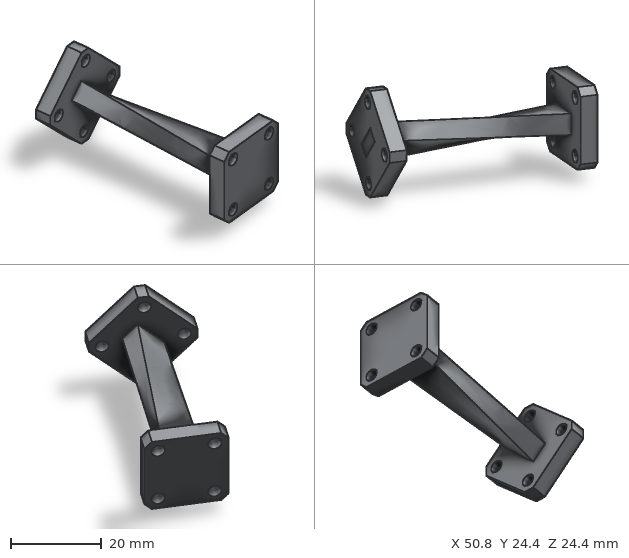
import cadquery as cq
import math

length = 50.8
twist_angle = 45.0

flange_side = 19.0
flange_thickness = 4.05
corner_chamfer = 1.75
hole_diameter = 3.0
hole_spacing_wide = 12.7
hole_spacing_narrow = 13.45

wall = 0.65
window_width = 7.1
window_height = 3.55
window_depth = 0.25
guide_width = window_width + 2 * wall
guide_height = window_height + 2 * wall


def flange():
    """Chamfered square plate with four through holes, lying on the YZ plane."""
    plate = (
        cq.Workplane("YZ")
        .rect(flange_side, flange_side)
        .extrude(flange_thickness)
        .edges("|X")
        .chamfer(corner_chamfer)
    )
    holes = (
        cq.Workplane("YZ")
        .rect(hole_spacing_wide, hole_spacing_narrow, forConstruction=True)
        .vertices()
        .circle(hole_diameter / 2)
        .extrude(flange_thickness)
    )
    return plate.cut(holes)


def turned(shape):
    """Turn a shape about the X axis by the twist of the near end."""
    return shape.rotate((0, 0, 0), (1, 0, 0), -twist_angle)


def guide_section(x, angle):
    """Outer rectangle of the guide at x, turned about the X axis by angle."""
    cosine = math.cos(math.radians(angle))
    sine = math.sin(math.radians(angle))
    corners = []
    for y_side, z_side in ((-1, -1), (1, -1), (1, 1), (-1, 1)):
        y = y_side * guide_width / 2
        z = z_side * guide_height / 2
        corners.append(cq.Vector(x, y * cosine - z * sine, y * sine + z * cosine))
    return cq.Wire.makePolygon(corners, close=True)


near_section = guide_section(flange_thickness, -twist_angle)
far_section = guide_section(length - flange_thickness, 0)
guide = cq.Workplane(cq.Solid.makeLoft([near_section, far_section], True))

window = cq.Workplane("YZ").rect(window_width, window_height).extrude(window_depth)
near_flange = turned(flange().cut(window))
far_flange = flange().translate((length - flange_thickness, 0, 0))

result = near_flange.union(guide).union(far_flange)